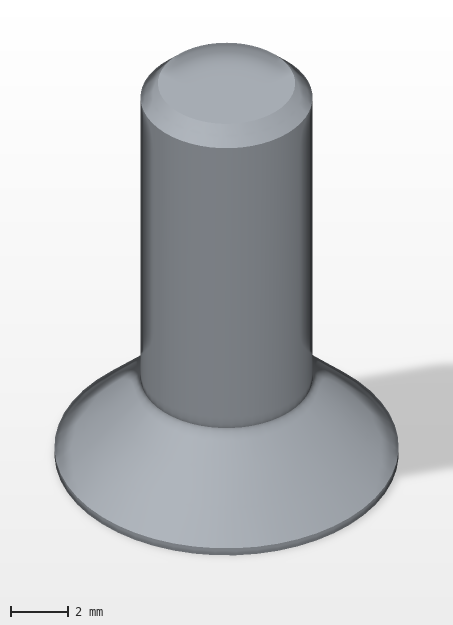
import cadquery as cq

total_length = 16.0
head_diameter = 12.0
shank_diameter = 6.0
rim_height = 0.3
tip_chamfer = 0.6

head_radius = head_diameter / 2
shank_radius = shank_diameter / 2
cone_height = head_radius - shank_radius
head_height = rim_height + cone_height


def make_head():
    """Short cylindrical rim that narrows in a cone to the shank."""
    half_profile = (
        cq.Workplane("XZ")
        .lineTo(head_radius, 0)
        .lineTo(head_radius, rim_height)
        .lineTo(shank_radius, head_height)
        .lineTo(0, head_height)
        .close()
    )
    return half_profile.revolve(360, (0, 0, 0), (0, 1, 0))


def make_shank():
    """Plain cylinder with a chamfered tip."""
    return (
        cq.Workplane("XY")
        .workplane(offset=head_height)
        .circle(shank_radius)
        .extrude(total_length - head_height)
        .faces(">Z")
        .chamfer(tip_chamfer)
    )


result = make_head().union(make_shank())